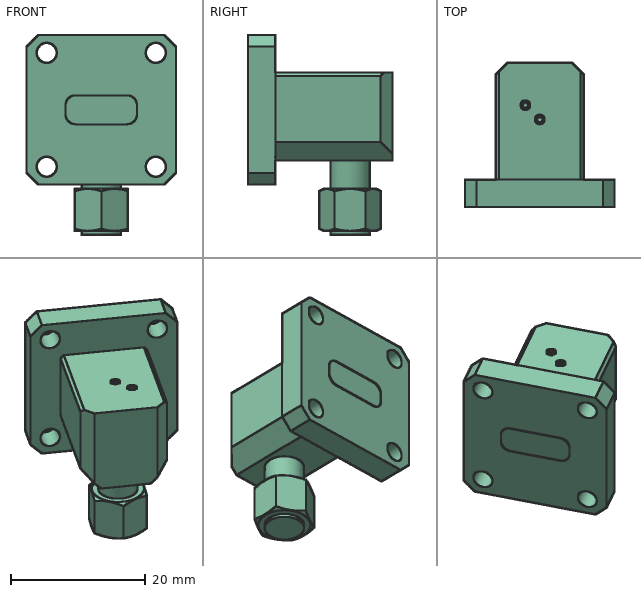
import cadquery as cq
import math

FLANGE_SIDE = 22.35
FLANGE_THICKNESS = 4.12
FLANGE_CORNER_CHAMFER = 1.75
MOUNT_HOLE_DIAMETER = 2.95
MOUNT_HOLE_X = 8.15
MOUNT_HOLE_Z = 8.5

PORT_WIDTH = 10.68
PORT_HEIGHT = 4.32
PORT_CORNER_RADIUS = 1.5
PORT_DEPTH = 0.1

OVERALL_DEPTH = 21.6
BLOCK_SIDE = 13.18
BLOCK_TOP_Z = 5.58
BLOCK_BOTTOM_Z = BLOCK_TOP_Z - BLOCK_SIDE
TOP_EDGE_CHAMFER = 0.5
BACK_EDGE_CHAMFER = 1.8
BOTTOM_EDGE_CHAMFER = 2.8

OVERALL_HEIGHT = 29.82
CONNECTOR_Y = 15.25
BARREL_DIAMETER = 5.9
BARREL_BOTTOM_Z = FLANGE_SIDE / 2 - OVERALL_HEIGHT
NUT_ACROSS_FLATS = 7.95
NUT_SIDES = 6
NUT_ACROSS_CORNERS = NUT_ACROSS_FLATS / math.cos(math.pi / NUT_SIDES)
NUT_HEIGHT = 6.35
BARREL_END_LENGTH = 0.55
NUT_BOTTOM_Z = BARREL_BOTTOM_Z + BARREL_END_LENGTH
NUT_END_DIAMETER = 7.78
NUT_CHAMFER_ANGLE = 28

SCREW_STEP = 2.15
SCREW_POSITIONS = [(-SCREW_STEP, CONNECTOR_Y), (0, CONNECTOR_Y - SCREW_STEP)]
SCREW_DIAMETER = 1.43
SCREW_LENGTH = 1.8
SCREW_RECESS = 0.1
SCREW_EDGE_CHAMFER = 0.1
SOCKET_DIAMETER = 0.83
SOCKET_DEPTH = 0.45
SOCKET_POINT_DEPTH = 0.25


def make_flange():
    plate = (
        cq.Workplane("XY")
        .box(FLANGE_SIDE, FLANGE_THICKNESS, FLANGE_SIDE, centered=(True, False, True))
        .edges("|Y")
        .chamfer(FLANGE_CORNER_CHAMFER)
    )
    mount_holes = (
        cq.Workplane("XZ")
        .rect(2 * MOUNT_HOLE_X, 2 * MOUNT_HOLE_Z, forConstruction=True)
        .vertices()
        .circle(MOUNT_HOLE_DIAMETER / 2)
        .extrude(-FLANGE_THICKNESS)
    )
    port = (
        cq.Workplane("XZ")
        .rect(PORT_WIDTH, PORT_HEIGHT)
        .extrude(-PORT_DEPTH)
        .edges("|Y")
        .fillet(PORT_CORNER_RADIUS)
    )
    return plate.cut(mount_holes).cut(port)


def make_block():
    """Box with chamfered long edges, trimmed to a plan with chamfered back corners."""
    length = OVERALL_DEPTH - FLANGE_THICKNESS
    box = cq.Workplane("XY", origin=(0, FLANGE_THICKNESS, BLOCK_BOTTOM_Z)).box(
        BLOCK_SIDE, length, BLOCK_SIDE, centered=(True, False, False)
    )
    long_edges_cut = (
        box.edges("|Y and >Z")
        .chamfer(TOP_EDGE_CHAMFER)
        .edges("|Y and <Z")
        .chamfer(BOTTOM_EDGE_CHAMFER)
    )
    back_corners_cut = box.edges("|Z and >Y").chamfer(BACK_EDGE_CHAMFER)
    return long_edges_cut.intersect(back_corners_cut)


def make_screw_hole(x, y):
    return (
        cq.Workplane("XY", origin=(x, y, BLOCK_TOP_Z))
        .circle(SCREW_DIAMETER / 2)
        .extrude(-(SCREW_RECESS + SCREW_LENGTH))
    )


def make_housing():
    housing = make_flange().union(make_block())
    for x, y in SCREW_POSITIONS:
        housing = housing.cut(make_screw_hole(x, y))
    return housing


def make_screw(x, y):
    """Screw turned from a half profile, with a round socket that ends in a cone."""
    radius = SCREW_DIAMETER / 2
    socket_radius = SOCKET_DIAMETER / 2
    return (
        cq.Workplane("XZ", origin=(x, y, BLOCK_TOP_Z - SCREW_RECESS))
        .moveTo(0, -SCREW_LENGTH)
        .lineTo(radius, -SCREW_LENGTH)
        .lineTo(radius, -SCREW_EDGE_CHAMFER)
        .lineTo(radius - SCREW_EDGE_CHAMFER, 0)
        .lineTo(socket_radius, 0)
        .lineTo(socket_radius, -SOCKET_DEPTH)
        .lineTo(0, -SOCKET_DEPTH - SOCKET_POINT_DEPTH)
        .close()
        .revolve(360, (0, 0, 0), (0, 1, 0))
    )


def make_barrel():
    return (
        cq.Workplane("XY", origin=(0, CONNECTOR_Y, BARREL_BOTTOM_Z))
        .circle(BARREL_DIAMETER / 2)
        .extrude(BLOCK_BOTTOM_Z - BARREL_BOTTOM_Z)
    )


def make_nut():
    """Hexagon with corners along Y, its ends turned to a shallow cone, bored to fit the barrel."""
    hexagon = (
        cq.Workplane("XY", origin=(0, CONNECTOR_Y, NUT_BOTTOM_Z))
        .transformed(rotate=(0, 0, 90))
        .polygon(NUT_SIDES, NUT_ACROSS_CORNERS)
        .extrude(NUT_HEIGHT)
    )
    corner_radius = NUT_ACROSS_CORNERS / 2
    end_radius = NUT_END_DIAMETER / 2
    drop = (corner_radius - end_radius) * math.tan(math.radians(NUT_CHAMFER_ANGLE))
    turned = (
        cq.Workplane("XZ", origin=(0, CONNECTOR_Y, NUT_BOTTOM_Z))
        .moveTo(BARREL_DIAMETER / 2, 0)
        .lineTo(end_radius, 0)
        .lineTo(corner_radius, drop)
        .lineTo(corner_radius, NUT_HEIGHT - drop)
        .lineTo(end_radius, NUT_HEIGHT)
        .lineTo(BARREL_DIAMETER / 2, NUT_HEIGHT)
        .close()
        .revolve(360, (0, 0, 0), (0, 1, 0))
    )
    return hexagon.intersect(turned)


housing = make_housing()
barrel = make_barrel()
nut = make_nut()
screws = [make_screw(x, y) for x, y in SCREW_POSITIONS]

result = cq.Compound.makeCompound(
    [housing.val(), barrel.val(), nut.val(), *[screw.val() for screw in screws]]
)